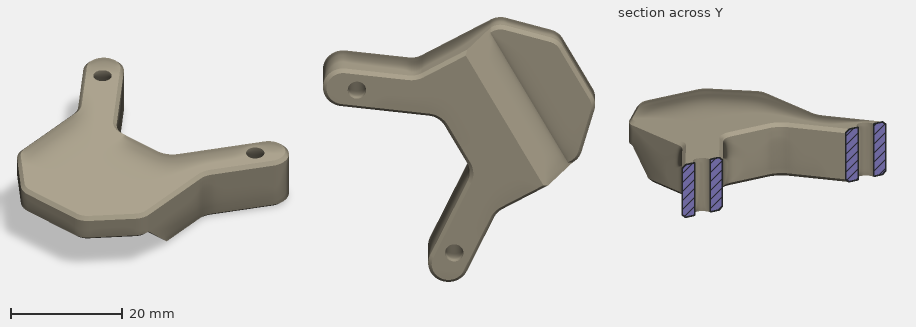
import cadquery as cq
import math

thickness = 10.0
plate_thickness = 5.0
body_width = 30.0
body_length = 25.0
corner_cut = 8.0
body_fillet = 3.5
root_fillet = 3.75
edge_chamfer = 0.65
ramp_foot_y = 15.0

hole_diameter = 3.3
hole_x = 18.0
hole_y = 35.33
arm_width = 7.3
arm_lean_run = 18.0
arm_lean_rise = 25.0
arm_angle = math.atan2(arm_lean_rise, arm_lean_run)
hole_to_tip_centre = 2.47
hole_to_root_centre = 20.0

half_width = body_width / 2
half_arm = arm_width / 2


def arm_edge_at_x(across, x):
    """Y of the arm's long edge, offset outward from its centreline, at the given X."""
    return hole_y + (x - hole_x) * math.tan(arm_angle) - across / math.cos(arm_angle)


def arm_edge_at_y(across, y):
    """X of the arm's long edge, offset outward from its centreline, at the given Y."""
    return hole_x + (y - hole_y) / math.tan(arm_angle) + across / math.sin(arm_angle)


def mirrored(points):
    """The same points on the left side, in reverse order."""
    return [(-x, y) for x, y in reversed(points)]


front_corners = [(half_width - corner_cut, 0), (half_width, corner_cut)]
outer_root = (half_width, arm_edge_at_x(half_arm, half_width))
inner_root = (arm_edge_at_y(-half_arm, body_length), body_length)


def body_blank(height):
    """Sharp-cornered body, with a straight edge buried under each arm between its two roots."""
    right_side = front_corners + [outer_root, inner_root]
    return cq.Workplane("XY").polyline(right_side + mirrored(right_side)).close().extrude(height)


def arm_blank(height):
    """Right arm as a plain round-ended bar."""
    centre_along = (hole_to_tip_centre - hole_to_root_centre) / 2
    centre_x = hole_x + centre_along * math.cos(arm_angle)
    centre_y = hole_y + centre_along * math.sin(arm_angle)
    length = hole_to_tip_centre + hole_to_root_centre + arm_width
    return (
        cq.Workplane("XY")
        .center(centre_x, centre_y)
        .slot2D(length, arm_width, math.degrees(arm_angle))
        .extrude(height)
    )


def round_corners(solid, points, radius, height):
    """Round the upright edges that stand on the given points and their mirror images."""
    reach = 0.01
    for x, y in points + mirrored(points):
        around_edge = cq.selectors.BoxSelector(
            (x - reach, y - reach, 0), (x + reach, y + reach, height)
        )
        solid = solid.edges("|Z").edges(around_edge).fillet(radius)
    return solid


def slab(height):
    """Full outline down from the top face, rounded and chamfered all round."""
    arm = arm_blank(height)
    solid = body_blank(height).union(arm).union(arm.mirror("YZ"))
    solid = round_corners(solid, front_corners, body_fillet, height)
    solid = round_corners(solid, [outer_root, inner_root], root_fillet, height)
    solid = solid.faces("<Z or >Z").chamfer(edge_chamfer)
    return solid.translate((0, 0, thickness - height))


def ramp_cutter():
    """Wedge below the 45 degree plane that rises from the ramp foot toward the front."""
    return (
        cq.Workplane("YZ")
        .polyline([(ramp_foot_y, 0), (0, 0), (0, thickness), (ramp_foot_y - thickness, thickness)])
        .close()
        .extrude(half_width, both=True)
    )


def arm_holes():
    """Through-hole cutters, one per arm."""
    return (
        cq.Workplane("XY")
        .pushPoints([(-hole_x, hole_y), (hole_x, hole_y)])
        .circle(hole_diameter / 2)
        .extrude(thickness)
    )


thin_plate = slab(plate_thickness)
thick_rear = slab(thickness).cut(ramp_cutter())
result = thin_plate.union(thick_rear).cut(arm_holes())